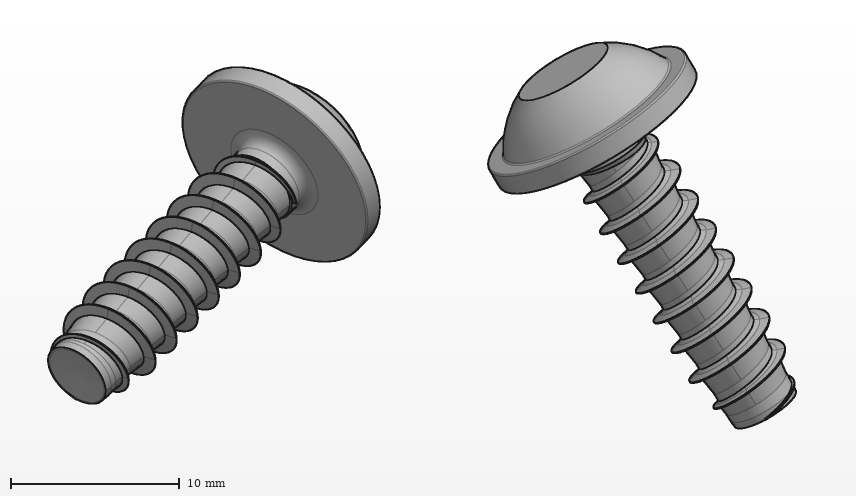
import cadquery as cq
import math


total_length = 24.2

flange_radius = 6.75
flange_thickness = 1.4
flange_edge_fillet = 0.1
dome_base_radius = 5.66
dome_top_radius = 3.02
dome_height = 2.78
dome_base_fillet = 0.15

neck_radius = 2.37
neck_length = 1.5
neck_fillet = 0.8
neck_taper_length = 0.39

core_radius = 2.15
tip_radius = 2.1
tip_taper_length = 0.48
dimple_radius = 1.98
dimple_depth = 0.2

thread_start_y = -1.3
thread_length = 18.68
thread_turns = 8.75
pitch = thread_length / thread_turns
crest_radius = 3.02
crest_half_width = 0.036
tip_flank_run = 0.25
head_flank_run = 0.31
toe_run = 0.5
toe_share = 0.42
root_radius = 2.05
lead_in_radius = 2.55
lead_in_turns = 1.25
fade_start_turn = 7.25
fade_per_turn = 0.58

ramp_radius = 2.35
ramp_length = 1.38
ramp_start_turn = -0.5
ramp_fade_start_turn = 7.5
ramp_fade_per_turn = 0.2

quarter_turn = 0.25
spans_per_quarter = 6

tip_y = flange_thickness + dome_height - total_length


def dome_middle():
    """Point halfway along the dome profile, on a sphere centred on the screw axis."""
    drop = (dome_base_radius**2 - dome_top_radius**2 - dome_height**2) / (2 * dome_height)
    sphere_radius = math.hypot(dome_base_radius, drop)
    base_angle = math.atan2(drop, dome_base_radius)
    top_angle = math.atan2(drop + dome_height, dome_top_radius)
    angle = (base_angle + top_angle) / 2
    return (
        sphere_radius * math.cos(angle),
        flange_thickness - drop + sphere_radius * math.sin(angle),
    )


def make_head():
    flange = cq.Workplane("XZ").circle(flange_radius).extrude(-flange_thickness)
    dome_top = flange_thickness + dome_height
    dome = (
        cq.Workplane("XY")
        .lineTo(0, dome_top)
        .lineTo(dome_top_radius, dome_top)
        .threePointArc(dome_middle(), (dome_base_radius, flange_thickness))
        .lineTo(dome_base_radius, flange_thickness / 2)
        .lineTo(0, flange_thickness / 2)
        .close()
        .revolve(360, (0, 0), (0, 1))
    )
    dome_base = cq.selectors.RadiusNthSelector(1)
    flange_rims = cq.selectors.RadiusNthSelector(-1)
    head = flange.union(dome).edges(dome_base).fillet(dome_base_fillet)
    return head.edges(flange_rims).fillet(flange_edge_fillet)


def make_shank():
    """Neck with its fillet under the flange, and the core down to the tip."""
    fillet_inset = neck_fillet * (1 - math.sqrt(0.5))
    return (
        cq.Workplane("XY")
        .moveTo(0, flange_thickness / 2)
        .lineTo(neck_radius + neck_fillet, flange_thickness / 2)
        .lineTo(neck_radius + neck_fillet, 0)
        .threePointArc(
            (neck_radius + fillet_inset, -fillet_inset),
            (neck_radius, -neck_fillet),
        )
        .lineTo(neck_radius, -neck_length)
        .lineTo(core_radius, -neck_length - neck_taper_length)
        .lineTo(core_radius, tip_y + tip_taper_length)
        .lineTo(tip_radius, tip_y)
        .lineTo(0, tip_y)
        .close()
        .revolve(360, (0, 0), (0, 1))
    )


def helical_ridge(section, first_turn, last_turn):
    """Solid swept round the axis; section(turn) gives (radius, axial offset) corners."""
    corner_count = len(section(first_turn))

    def corner_point(turn, corner):
        radius, offset = section(turn)[corner]
        angle = 2 * math.pi * turn
        y = thread_start_y - pitch * turn + offset
        return cq.Vector(radius * math.cos(angle), y, radius * math.sin(angle))

    def rail(turn, corner):
        """Curve followed by one corner over the quarter turn that starts at turn."""
        turns = [turn + quarter_turn * i / spans_per_quarter for i in range(spans_per_quarter + 1)]
        return cq.Edge.makeSpline([corner_point(t, corner) for t in turns])

    def end_face(turn):
        corners = [corner_point(turn, corner) for corner in range(corner_count)]
        return cq.Face.makeFromWires(cq.Wire.makePolygon(corners, close=True))

    faces = [end_face(first_turn), end_face(last_turn)]
    for quarter in range(round((last_turn - first_turn) / quarter_turn)):
        turn = first_turn + quarter * quarter_turn
        rails = [rail(turn, corner) for corner in range(corner_count)]
        for corner in range(corner_count):
            faces.append(cq.Face.makeRuledSurface(rails[corner - 1], rails[corner]))
    ridge = cq.Solid.makeSolid(cq.Shell.makeShell(faces))
    return cq.Workplane(ridge.fix())


def crest_radius_at(turn):
    lead_in = lead_in_radius + (crest_radius - lead_in_radius) * turn / lead_in_turns
    fade_out = crest_radius - fade_per_turn * (turn - fade_start_turn)
    return min(crest_radius, lead_in, fade_out)


def thread_section(turn):
    crest = crest_radius_at(turn)
    height = crest - root_radius
    toe_height = toe_share * height
    toe_offset = crest_half_width + head_flank_run * (height - toe_height)
    return [
        (root_radius, toe_offset + toe_run * toe_height),
        (root_radius + toe_height, toe_offset),
        (crest, crest_half_width),
        (crest, -crest_half_width),
        (root_radius, -crest_half_width - tip_flank_run * height),
    ]


def ramp_section(turn):
    fade_out = ramp_radius - ramp_fade_per_turn * (turn - ramp_fade_start_turn)
    peak = min(ramp_radius, fade_out)
    slope = (ramp_radius - core_radius) / ramp_length
    return [(root_radius, 0), (peak, 0), (root_radius, (root_radius - peak) / slope)]


shank = make_shank()
shank = shank.union(helical_ridge(thread_section, 0, thread_turns))
shank = shank.union(helical_ridge(ramp_section, ramp_start_turn, thread_turns))

shank_length = flange_thickness / 2 - tip_y
envelope = cq.Workplane("XZ", origin=(0, tip_y, 0)).circle(flange_radius).extrude(-shank_length)
shank = shank.intersect(envelope)
dimple = cq.Solid.makeCone(
    dimple_radius, 0, dimple_depth, cq.Vector(0, tip_y, 0), cq.Vector(0, 1, 0)
)

result = make_head().union(shank).cut(cq.Workplane(dimple))